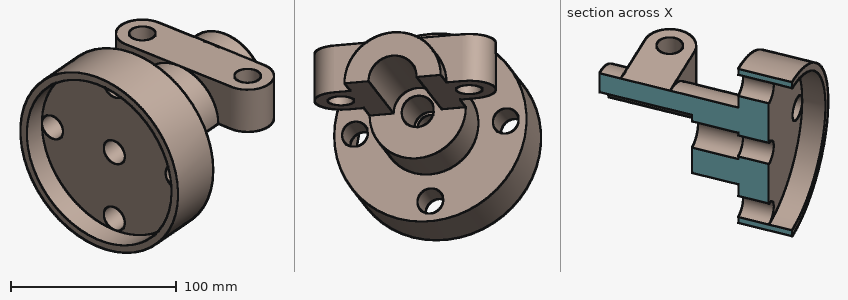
import cadquery as cq

flange_radius = 60.0
flange_length = 35.0
recess_radius = 55.0
recess_depth = 15.0

hub_radius = 30.0
full_hub_length = 30.0
half_hub_length = 60.0
full_hub_end = flange_length + full_hub_length
hub_end = full_hub_end + half_hub_length

hole_radius = 8.0
bore_radius = 10.0
channel_radius = 15.0

flange_hole_count = 4
flange_hole_circle_radius = recess_radius - hole_radius

lug_end_radius = 16.0
lug_hole_count = 2
lug_hole_spacing = 80.0
lug_height = hub_radius
lug_center_y = full_hub_end + half_hub_length / 2


def cylinder_along_y(radius, start_y, end_y):
    """Cylinder centred on the Y axis between two Y positions."""
    plane = cq.Workplane("XZ", origin=(0, start_y, 0))
    return plane.circle(radius).extrude(start_y - end_y)


def make_flange():
    disc = cylinder_along_y(flange_radius, 0, flange_length)
    return disc.cut(cylinder_along_y(recess_radius, 0, recess_depth))


def make_hub():
    full_hub = cylinder_along_y(hub_radius, flange_length, full_hub_end)
    lower_half = cq.Workplane("XY").box(
        2 * hub_radius, half_hub_length, hub_radius, centered=(True, False, False)
    ).translate((0, full_hub_end, -hub_radius))
    half_hub = cylinder_along_y(hub_radius, full_hub_end, hub_end).cut(lower_half)
    return full_hub.union(half_hub)


def make_lug():
    lug_length = lug_hole_spacing + 2 * lug_end_radius
    return (
        cq.Workplane("XY", origin=(0, lug_center_y, 0))
        .slot2D(lug_length, 2 * lug_end_radius)
        .extrude(lug_height)
    )


def make_passage():
    front_hole = cylinder_along_y(hole_radius, 0, flange_length)
    bore = cylinder_along_y(bore_radius, flange_length, full_hub_end)
    channel = cylinder_along_y(channel_radius, full_hub_end, hub_end)
    return front_hole.union(bore).union(channel)


def make_flange_holes():
    return (
        cq.Workplane("XZ")
        .polarArray(flange_hole_circle_radius, 0, 360, flange_hole_count)
        .circle(hole_radius)
        .extrude(-flange_length)
    )


def make_lug_holes():
    return (
        cq.Workplane("XY", origin=(0, lug_center_y, 0))
        .rarray(lug_hole_spacing, 1, lug_hole_count, 1)
        .circle(hole_radius)
        .extrude(lug_height)
    )


body = make_flange().union(make_hub()).union(make_lug())
result = body.cut(make_passage()).cut(make_flange_holes()).cut(make_lug_holes())